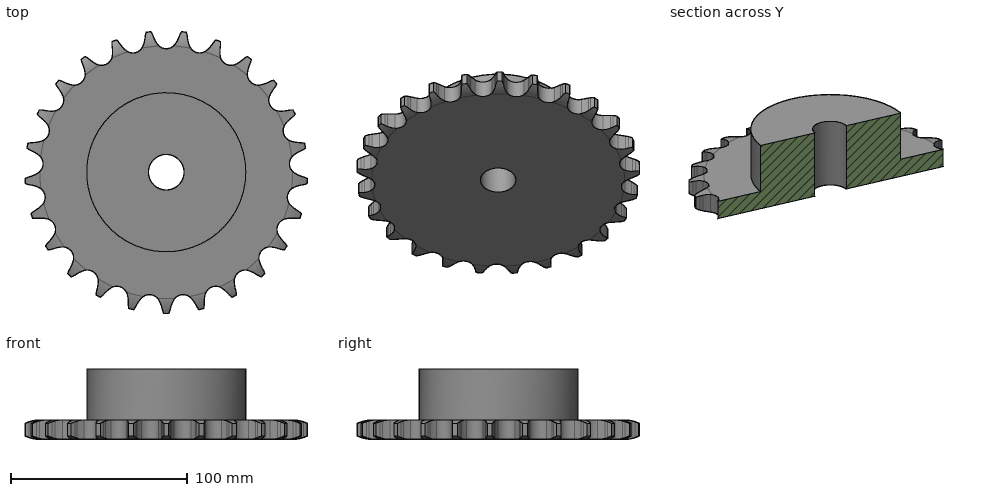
import cadquery as cq
import math

CHAIN_PITCH = 19.05
ROLLER_DIAMETER = 12.07
TOOTH_COUNT = 25
TIP_RADIUS = 80.0
TOOTH_WIDTH = 11.1

RELIEF_RADIUS = CHAIN_PITCH
RELIEF_START_RADIUS = 71.5

HUB_DIAMETER = 90.0
TOTAL_HEIGHT = 40.0
BORE_DIAMETER = 20.0

TOOTH_ANGLE = 360.0 / TOOTH_COUNT
PITCH_RADIUS = CHAIN_PITCH / 2 / math.sin(math.radians(TOOTH_ANGLE / 2))
SEATING_CLEARANCE = 0.038
SEATING_RADIUS = 0.5025 * ROLLER_DIAMETER + SEATING_CLEARANCE
SEATING_END_ANGLE = 35 + 60 / TOOTH_COUNT
WORKING_CENTER_OFFSET = 0.8 * ROLLER_DIAMETER
WORKING_RADIUS = SEATING_RADIUS + WORKING_CENTER_OFFSET
WORKING_SWEEP = 18 - 56 / TOOTH_COUNT
FLANK_ANGLE = SEATING_END_ANGLE - WORKING_SWEEP
TOPPING_CENTER_ANGLE = 17 - 64 / TOOTH_COUNT
TOPPING_CENTER_OFFSET = 1.4 * ROLLER_DIAMETER
FLANK_LENGTH = (
    TOPPING_CENTER_OFFSET * math.sin(math.radians(TOPPING_CENTER_ANGLE))
    - WORKING_CENTER_OFFSET * math.sin(math.radians(WORKING_SWEEP))
)
TOPPING_RADIUS = (
    WORKING_CENTER_OFFSET * math.cos(math.radians(WORKING_SWEEP))
    + TOPPING_CENTER_OFFSET * math.cos(math.radians(TOPPING_CENTER_ANGLE))
    - WORKING_RADIUS
)
TOPPING_SWEEP = 25.0


def polar(center, radius, angle):
    """Point at a distance and an angle (degrees from +X) around a center."""
    turn = math.radians(angle)
    return (center[0] + radius * math.cos(turn), center[1] + radius * math.sin(turn))


def mirrored(point):
    """Point reflected across the center line of the gap."""
    return (-point[0], point[1])


def make_blank():
    """Disc with rounded tooth sides, revolved about Z."""
    reach = TIP_RADIUS - RELIEF_START_RADIUS
    half_reach = reach / 2
    tip_depth = RELIEF_RADIUS - math.sqrt(RELIEF_RADIUS**2 - reach**2)
    mid_depth = RELIEF_RADIUS - math.sqrt(RELIEF_RADIUS**2 - half_reach**2)
    mid_radius = RELIEF_START_RADIUS + half_reach
    return (
        cq.Workplane("XZ")
        .lineTo(RELIEF_START_RADIUS, 0)
        .threePointArc((mid_radius, mid_depth), (TIP_RADIUS, tip_depth))
        .lineTo(TIP_RADIUS, TOOTH_WIDTH - tip_depth)
        .threePointArc((mid_radius, TOOTH_WIDTH - mid_depth), (RELIEF_START_RADIUS, TOOTH_WIDTH))
        .lineTo(0, TOOTH_WIDTH)
        .close()
        .revolve(360, (0, 0, 0), (0, 1, 0))
    )


def make_gap():
    """Cutter for one roller gap, centered on the +Y axis."""
    roller_center = (0, PITCH_RADIUS)
    root = (0, PITCH_RADIUS - SEATING_RADIUS)

    seating_end = polar(roller_center, SEATING_RADIUS, 180 + SEATING_END_ANGLE)
    working_center = polar(roller_center, WORKING_CENTER_OFFSET, SEATING_END_ANGLE)
    working_mid = polar(working_center, WORKING_RADIUS, 180 + SEATING_END_ANGLE - WORKING_SWEEP / 2)
    working_end = polar(working_center, WORKING_RADIUS, 180 + FLANK_ANGLE)
    flank_end = polar(working_end, FLANK_LENGTH, 90 + FLANK_ANGLE)
    topping_center = polar(flank_end, TOPPING_RADIUS, 180 + FLANK_ANGLE)
    topping_mid = polar(topping_center, TOPPING_RADIUS, FLANK_ANGLE + TOPPING_SWEEP / 2)
    topping_end = polar(topping_center, TOPPING_RADIUS, FLANK_ANGLE + TOPPING_SWEEP)

    return (
        cq.Workplane("XY")
        .moveTo(*seating_end)
        .threePointArc(working_mid, working_end)
        .lineTo(*flank_end)
        .threePointArc(topping_mid, topping_end)
        .lineTo(*mirrored(topping_end))
        .threePointArc(mirrored(topping_mid), mirrored(flank_end))
        .lineTo(*mirrored(working_end))
        .threePointArc(mirrored(working_mid), mirrored(seating_end))
        .threePointArc(root, seating_end)
        .close()
        .extrude(TOOTH_WIDTH)
    )


def cut_gaps(blank):
    """Cut the ring of roller gaps, the first one centered on +Y."""
    gap = make_gap()
    for index in range(TOOTH_COUNT):
        blank = blank.cut(gap.rotate((0, 0, 0), (0, 0, 1), index * TOOTH_ANGLE))
    return blank


def make_hub():
    """Plain round hub through the full height."""
    return cq.Workplane("XY").circle(HUB_DIAMETER / 2).extrude(TOTAL_HEIGHT)


def make_bore():
    """Cutter for the through bore."""
    return cq.Workplane("XY").circle(BORE_DIAMETER / 2).extrude(TOTAL_HEIGHT)


result = cut_gaps(make_blank()).union(make_hub()).cut(make_bore())